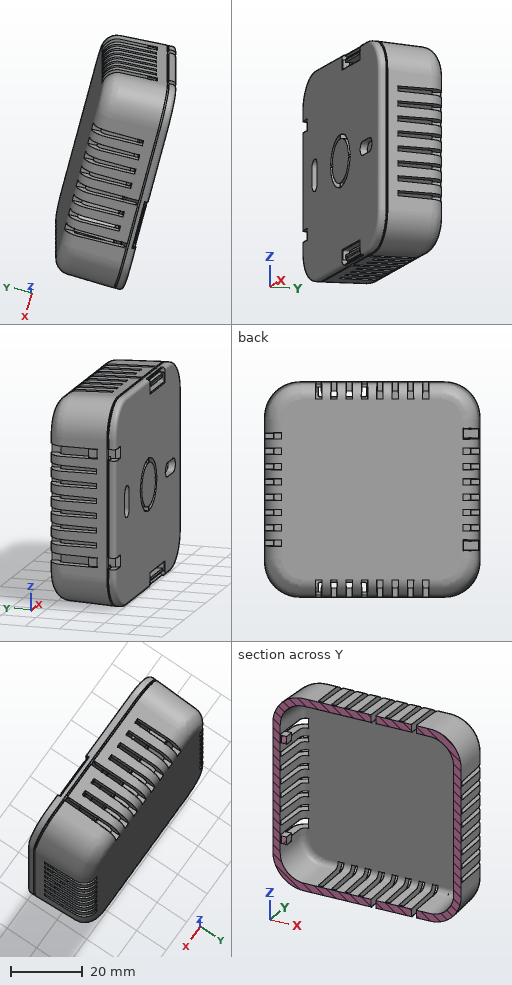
import cadquery as cq
import math


SIDE = 60.0
HALF = SIDE / 2
DEPTH = 20.3
CORNER_RADIUS = 10.0

BASE_THICKNESS = 2.15
FRONT_FILLET = 1.1
LEDGE_INSET = 0.6
LEDGE_HEIGHT = 0.5
COVER_START = BASE_THICKNESS + LEDGE_HEIGHT

DRAFT_ANGLE = 2.0
WALL = 2.5
RIM_WALL = 1.5
RIM_DEPTH = 0.5
BACK_WALL = 2.65
BACK_FILLET = 4.5
CAVITY_FILLET = 1.85
CAVITY_END = DEPTH - BACK_WALL

VENT_COUNT = 8
VENT_PITCH = 4.25
VENT_BACK_WIDTH = 1.8
VENT_FRONT_WIDTH = 1.45
VENT_START = 5.75
VENT_DEPTH = 4.8
LONG_VENTS = (4, 7)
VENT_POSITIONS = [(i - (VENT_COUNT - 1) / 2) * VENT_PITCH for i in range(VENT_COUNT)]

FINGER_CENTER = (VENT_POSITIONS[LONG_VENTS[0]] + VENT_POSITIONS[LONG_VENTS[1]]) / 2
HOOK_LENGTH = 10.8
HOOK_REACH = 0.55
HOOK_TIP = 0.35
HOOK_TIP_INSET = 1.85
HOOK_LEAD_END = 0.55
FINGER_END = 4.8

WINDOW_CENTER = 8.3
WINDOW_LENGTH = 13.9
WINDOW_REACH = 4.4
WINDOW_RADIUS = 0.5
WINDOW_CHAMFER = 0.25
BAR_FRONT = FRONT_FILLET
BAR_CREST = 0.9
BAR_CREST_INSET = 0.3
BAR_SEAT = 1.55
BAR_SEAT_INSET = 0.65

HINGE_Z = 15.6
NOTCH_WIDTH = 3.3
NOTCH_REACH = 4.2
NOTCH_CHAMFER = 1.1
HINGE_WIDTH = 2.45
HINGE_FRONT = 5.65
HINGE_BACK = 8.1
HINGE_NOSE_INSET = 0.4
HINGE_NECK = 0.6
HINGE_STEM = 1.5
HINGE_VENT_EXTRA = 1.2
HINGE_VENT_START = 5.5
HINGE_VENT_DEPTH = VENT_DEPTH

MOUNT_X = 20.0
MOUNT_WIDTH = 4.0
MOUNT_LENGTH = 9.1
KNOCKOUT_OUTER = 7.5
KNOCKOUT_INNER = 6.3
KNOCKOUT_WEB = 0.6


def front_plane(y):
    """Sketch plane at depth y whose local axes are X and Z; it extrudes toward -Y."""
    return cq.Workplane("XZ", origin=(0, y, 0))


def block(x_range, y_range, z_range):
    """Box between two limits on each axis."""
    limits = (x_range, y_range, z_range)
    sizes = [high - low for low, high in limits]
    return cq.Workplane("XY").box(*sizes, centered=False).translate(tuple(low for low, _ in limits))


def rounded_plate(inset, start, end):
    """Straight rounded square, inset from the outer side."""
    side = SIDE - 2 * inset
    plate = front_plane(end).rect(side, side).extrude(end - start)
    return plate.edges("|Y").fillet(CORNER_RADIUS - inset)


def tapered_block(wall, end):
    """Drafted rounded square from the cover rim to its flat back."""
    length = end - COVER_START
    shrink = length * math.tan(math.radians(DRAFT_ANGLE))
    front_side = SIDE - 2 * wall
    back_side = front_side - 2 * shrink
    body = (
        front_plane(COVER_START)
        .rect(front_side, front_side)
        .workplane(offset=-length)
        .rect(back_side, back_side)
        .loft(ruled=True)
    )
    side_edges = body.edges("not(#Y)")
    return side_edges.fillet(CORNER_RADIUS - wall)


def about_y(body, angle):
    """Turn a body about the Y axis."""
    return body.rotate((0, 0, 0), (0, 1, 0), angle)



def vent(center, start):
    """Vent cutter for the +Z wall: it widens toward the back."""
    widening = (VENT_BACK_WIDTH - VENT_FRONT_WIDTH) / (DEPTH - VENT_START)
    half_back = VENT_BACK_WIDTH / 2
    half_front = half_back - widening * (DEPTH - start) / 2
    outline = [
        (center - half_front, start),
        (center + half_front, start),
        (center + half_back, DEPTH),
        (center - half_back, DEPTH),
    ]
    return cq.Workplane("XY", origin=(0, 0, HALF - VENT_DEPTH)).polyline(outline).close().extrude(VENT_DEPTH)


def snap_finger():
    """Hooked finger behind the +Z wall; it reaches out under the window bar."""
    outer = HALF - RIM_WALL
    inner = HALF - WALL
    tip = HALF - HOOK_TIP_INSET
    profile = [
        (FINGER_END, outer),
        (BAR_SEAT, outer),
        (BAR_SEAT, outer + HOOK_REACH),
        (BAR_FRONT, outer + HOOK_REACH),
        (HOOK_LEAD_END, outer),
        (HOOK_TIP, tip),
        (HOOK_TIP, inner),
        (FINGER_END, inner),
    ]
    hook = cq.Workplane("YZ", origin=(FINGER_CENTER - HOOK_LENGTH / 2, 0, 0))
    return hook.polyline(profile).close().extrude(HOOK_LENGTH)


def hinge_vent(side):
    """Widening of the end vent in the -X wall that takes a hinge nose."""
    inner = VENT_POSITIONS[-1]
    outer = inner + VENT_BACK_WIDTH / 2 + HINGE_VENT_EXTRA
    z_range = sorted((side * (inner - VENT_FRONT_WIDTH / 2), side * outer))
    return block((-HALF, -HALF + HINGE_VENT_DEPTH), (HINGE_VENT_START, DEPTH), z_range)


def make_cover():
    shell = tapered_block(0, DEPTH).faces(">Y").edges().fillet(BACK_FILLET)
    cavity = tapered_block(WALL, CAVITY_END)
    cavity = cavity.faces(">Y").edges().fillet(CAVITY_FILLET)
    rim_rebate = rounded_plate(RIM_WALL, COVER_START, COVER_START + RIM_DEPTH)
    cover = shell.cut(cavity).cut(rim_rebate)
    for i, center in enumerate(VENT_POSITIONS):
        end_wall_vent = vent(center, COVER_START if i in LONG_VENTS else VENT_START)
        side_wall_vent = about_y(vent(center, VENT_START), 90)
        cover = cover.cut(end_wall_vent).cut(end_wall_vent.mirror("XY"))
        cover = cover.cut(side_wall_vent).cut(side_wall_vent.mirror("YZ"))
    finger = snap_finger()
    cover = cover.union(finger).union(finger.mirror("XY"))
    for side in (-1, 1):
        cover = cover.cut(hinge_vent(side))
    return cover



def finger_window():
    """Through window near the +Z edge, with a recess that leaves a ridged bar along that edge."""
    start = WINDOW_CENTER - WINDOW_LENGTH / 2
    x_range = (start, start + WINDOW_LENGTH)
    x_range_deep = (start + WINDOW_CHAMFER, start + WINDOW_LENGTH - WINDOW_CHAMFER)
    inner = HALF - WINDOW_REACH
    frame = HALF - RIM_WALL
    opening = block(x_range_deep, (0, COVER_START), (inner + WINDOW_CHAMFER, frame))
    opening = opening.edges("|Y and <Z").fillet(WINDOW_RADIUS)
    mouth_z = HALF - (WINDOW_REACH + RIM_WALL) / 2
    mouth = (
        cq.Workplane("XZ", origin=(WINDOW_CENTER, 0, mouth_z))
        .rect(WINDOW_LENGTH, WINDOW_REACH - RIM_WALL)
        .workplane(offset=-WINDOW_CHAMFER)
        .rect(WINDOW_LENGTH - 2 * WINDOW_CHAMFER, WINDOW_REACH - RIM_WALL - 2 * WINDOW_CHAMFER)
        .loft(ruled=True)
    )
    mouth = mouth.edges("not(|X or |Z)").edges("<Z").fillet(WINDOW_RADIUS)
    bar_profile = [
        (0, frame),
        (BAR_SEAT, frame),
        (BAR_SEAT, HALF - BAR_SEAT_INSET),
        (BAR_CREST, HALF - BAR_CREST_INSET),
        (BAR_FRONT, HALF),
        (0, HALF),
    ]
    recess = cq.Workplane("YZ", origin=(start, 0, 0)).polyline(bar_profile).close().extrude(WINDOW_LENGTH)
    return opening.union(mouth).union(recess)


def hinge_notch(center):
    """Open notch in the -X edge, with a sloped inner end."""
    inner = -HALF + NOTCH_REACH
    outline = [
        (-HALF, 0),
        (inner, 0),
        (inner - NOTCH_CHAMFER, NOTCH_CHAMFER),
        (inner - NOTCH_CHAMFER, COVER_START),
        (-HALF, COVER_START),
    ]
    notch = cq.Workplane("XY", origin=(0, 0, center - NOTCH_WIDTH / 2))
    return notch.polyline(outline).close().extrude(NOTCH_WIDTH)


def hinge_hook(center):
    """Stem standing on the base with a nose that enters the cover wall."""
    stem_outer = -HALF + NOTCH_REACH - NOTCH_CHAMFER
    stem_inner = stem_outer + HINGE_STEM
    nose = -HALF + HINGE_NOSE_INSET
    outline = [
        (stem_inner, BASE_THICKNESS),
        (stem_inner, HINGE_BACK),
        (nose, HINGE_BACK),
        (nose, HINGE_FRONT),
        (stem_outer - HINGE_NECK, HINGE_FRONT),
        (stem_outer, HINGE_FRONT - HINGE_NECK),
        (stem_outer, BASE_THICKNESS),
    ]
    hook = cq.Workplane("XY", origin=(0, 0, center - HINGE_WIDTH / 2))
    hook = hook.polyline(outline).close().extrude(HINGE_WIDTH)
    foot_z = (center - NOTCH_WIDTH / 2, center + NOTCH_WIDTH / 2)
    foot = block((stem_outer, stem_inner), (BASE_THICKNESS, COVER_START), foot_z)
    return hook.union(foot)


def mounting_slots():
    """Upright slot on the -X side and level slot on the +X side."""
    slots = front_plane(BASE_THICKNESS).center(-MOUNT_X, 0).slot2D(MOUNT_LENGTH, MOUNT_WIDTH, 90)
    slots = slots.center(2 * MOUNT_X, 0).slot2D(MOUNT_LENGTH, MOUNT_WIDTH)
    return slots.extrude(BASE_THICKNESS)


def knockout_slits():
    """Ring of four slits; the webs between them hold the knockout disc."""
    ring = front_plane(BASE_THICKNESS).circle(KNOCKOUT_OUTER).circle(KNOCKOUT_INNER).extrude(BASE_THICKNESS)
    span = 2 * KNOCKOUT_OUTER
    webs = front_plane(BASE_THICKNESS).rect(span, KNOCKOUT_WEB).extrude(BASE_THICKNESS)
    return ring.cut(webs).cut(about_y(webs, 90))


def make_base():
    base = rounded_plate(0, 0, BASE_THICKNESS).faces("<Y").edges().fillet(FRONT_FILLET)
    ledge = rounded_plate(LEDGE_INSET, BASE_THICKNESS, COVER_START)
    ledge = ledge.cut(rounded_plate(RIM_WALL, BASE_THICKNESS, COVER_START))
    base = base.union(ledge)
    window = finger_window()
    base = base.cut(window).cut(window.mirror("XY"))
    for center in (-HINGE_Z, HINGE_Z):
        base = base.cut(hinge_notch(center)).union(hinge_hook(center))
    return base.cut(mounting_slots()).cut(knockout_slits())


base = make_base()
cover = make_cover()
result = cq.Compound.makeCompound([base.solids().val(), cover.solids().val()])